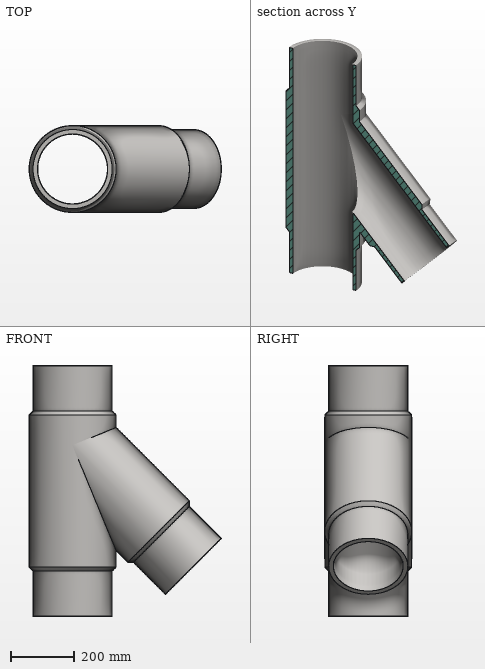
import cadquery as cq

spigot_diameter = 250.0
sleeve_diameter = 275.0
bore_diameter = 220.4
main_length = 792.0
branch_length = 540.0
junction_height = 540.0
branch_tilt = 135.0
spigot_length = 143.0
sleeve_chamfer = (sleeve_diameter - spigot_diameter) / 2

sleeve_length = main_length - 2 * spigot_length
branch_sleeve_length = branch_length - spigot_length

main_base = cq.Plane.XY()
sleeve_base = cq.Plane.XY(origin=(0, 0, spigot_length))
branch_base = cq.Plane.XY(origin=(0, 0, junction_height)).rotated((0, branch_tilt, 0))


def cylinder(base, diameter, length):
    """Solid cylinder standing on the base plane."""
    return cq.Workplane(base).circle(diameter / 2).extrude(length)


def make_main_body():
    """Straight pipe with a thicker sleeve, chamfered at both ends."""
    pipe = cylinder(main_base, spigot_diameter, main_length)
    sleeve = cylinder(sleeve_base, sleeve_diameter, sleeve_length)
    return pipe.union(sleeve.edges("%CIRCLE").chamfer(sleeve_chamfer))


def make_branch_body():
    """Inclined pipe with a sleeve chamfered at its outer end."""
    pipe = cylinder(branch_base, spigot_diameter, branch_length)
    sleeve = cylinder(branch_base, sleeve_diameter, branch_sleeve_length)
    outer_edge = sleeve.faces(cq.selectors.DirectionMinMaxSelector(branch_base.zDir, True)).edges()
    return pipe.union(outer_edge.chamfer(sleeve_chamfer))


def make_bores():
    """Through bore of the main pipe joined by the bore of the branch."""
    main_bore = cylinder(main_base, bore_diameter, main_length)
    branch_bore = cylinder(branch_base, bore_diameter, branch_length)
    return main_bore.union(branch_bore)


result = make_main_body().union(make_branch_body()).cut(make_bores())